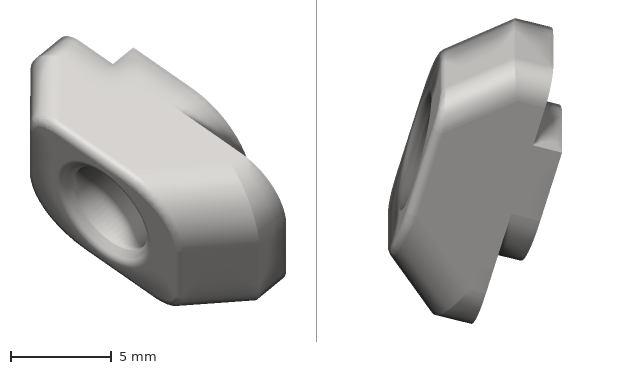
import cadquery as cq
import math

length = 15.4
height = 8.0
depth = 6.5
boss_depth = 1.5
slope_depth = 3.0
slope_run = 2.7
small_radius = 1.5
large_radius = 3.0
front_fillet = 0.5
bore_diameter = 5.0
mouth_chamfer = 0.5
mouth_fillet = 0.5
selection_margin = 0.15

half_length = length / 2
half_height = height / 2
front = -depth / 2
slope_start = front + slope_depth
flange_back = depth / 2 - boss_depth


def tapered_block():
    """Flange with straight ends that slope inward toward the front face."""
    return (
        cq.Workplane("XY")
        .polyline([
            (-half_length, flange_back),
            (half_length, flange_back),
            (half_length, slope_start),
            (half_length - slope_run, front),
            (slope_run - half_length, front),
            (-half_length, slope_start),
        ])
        .close()
        .extrude(half_height, both=True)
    )


def end_edges(x_side, z_side):
    """Selector for the straight and sloped edges of one end corner."""
    margin = selection_margin
    inner = half_length - slope_run - selection_margin
    x_range = sorted((x_side * inner, x_side * (half_length + margin)))
    z_range = sorted((z_side * (half_height - margin), z_side * (half_height + margin)))
    return cq.selectors.BoxSelector(
        (x_range[0], front + margin, z_range[0]),
        (x_range[1], flange_back - margin, z_range[1]),
    )


def rounded_flange():
    """Opposite corners share a radius, so the nut can turn one way only."""
    flange = tapered_block()
    for x_side in (-1, 1):
        for z_side in (-1, 1):
            radius = large_radius if x_side == z_side else small_radius
            flange = flange.edges(end_edges(x_side, z_side)).fillet(radius)
    return flange.faces("<Y").edges().fillet(front_fillet)


def boss():
    """Square boss with two opposite corners rounded to quarter circles."""
    diagonal = half_height / math.sqrt(2)
    return (
        cq.Workplane("XZ", origin=(0, depth / 2, 0))
        .moveTo(-half_height, half_height)
        .lineTo(0, half_height)
        .threePointArc((diagonal, diagonal), (half_height, 0))
        .lineTo(half_height, -half_height)
        .lineTo(0, -half_height)
        .threePointArc((-diagonal, -diagonal), (-half_height, 0))
        .close()
        .extrude(boss_depth)
    )


mouth_region = cq.selectors.BoxSelector(
    (-selection_margin, front - selection_margin, -selection_margin),
    (selection_margin, front + selection_margin, selection_margin),
)


def cut_bore(body):
    """Through hole whose front mouth is chamfered at 45 degrees, then rounded."""
    bored = body.faces("<Y").workplane(origin=(0, front, 0)).hole(bore_diameter)
    chamfered = bored.faces("<Y").edges(mouth_region).chamfer(mouth_chamfer)
    return chamfered.faces("<Y").edges(mouth_region).fillet(mouth_fillet)


result = cut_bore(rounded_flange().union(boss()))